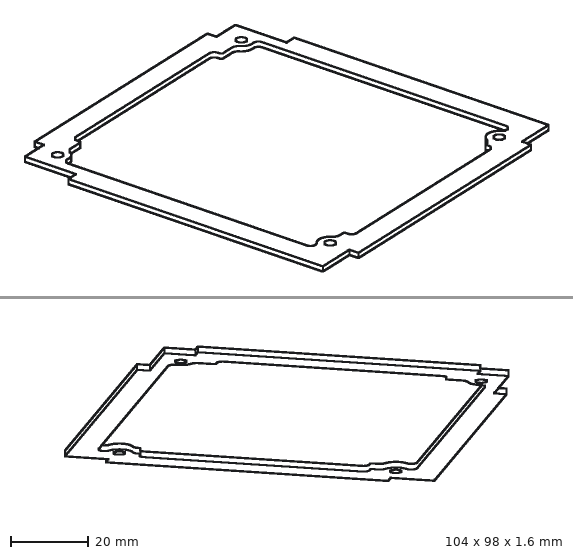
import cadquery as cq
import math

length = 104.0
width = 98.0
thickness = 1.6

half_length = length / 2
half_width = width / 2
body_half_length = 49.1
left_body_half_width = 45.7
side_tab_half_width = 37.4
wide_tab_start_x = -32.7

opening_half_length = 45.0
opening_half_width = 42.0
shelf_y = 30.5
step_x = 42.2
inner_radius = 1.6
boss_root_radius = 2.1
step_radius = 0.5

hole_diameter = 3.0
boss_radius = 3.5
hole_x = 42.8
left_hole_y = 39.8
upper_right_hole_y = 36.0
lower_right_hole_y = -37.3
holes = [
    (hole_x, upper_right_hole_y),
    (-hole_x, left_hole_y),
    (-hole_x, -left_hole_y),
    (hole_x, lower_right_hole_y),
]


def arc(center, radius, start_angle, end_angle):
    """Start, middle and end points of a circular arc; angles in radians."""
    angles = (start_angle, (start_angle + end_angle) / 2, end_angle)
    return [
        (center[0] + radius * math.cos(a), center[1] + radius * math.sin(a))
        for a in angles
    ]


def corner_arcs(hole_y):
    """Arcs of the opening's corner in the +X +Y quadrant, from side wall to end wall."""
    lower_distance = boss_radius + boss_root_radius
    upper_distance = boss_radius + inner_radius
    quarter = math.pi / 2

    lower_x = step_x - boss_root_radius
    lower_y = hole_y - math.sqrt(lower_distance**2 - (hole_x - lower_x) ** 2)
    lower_angle = math.atan2(hole_y - lower_y, hole_x - lower_x)

    upper_y = opening_half_width - inner_radius
    upper_x = hole_x - math.sqrt(upper_distance**2 - (upper_y - hole_y) ** 2)
    upper_angle = math.atan2(hole_y - upper_y, hole_x - upper_x)

    wall_center = (opening_half_length - inner_radius, shelf_y - inner_radius)
    step_center = (step_x + step_radius, shelf_y + step_radius)
    return [
        arc(wall_center, inner_radius, 0, quarter),
        arc(step_center, step_radius, 3 * quarter, 2 * quarter),
        arc((lower_x, lower_y), boss_root_radius, 0, lower_angle),
        arc((hole_x, hole_y), boss_radius, lower_angle + math.pi, upper_angle + math.pi),
        arc((upper_x, upper_y), inner_radius, upper_angle, quarter),
    ]


def placed_corner(hole):
    """Corner arcs mirrored into the hole's quadrant, in counterclockwise order."""
    sign_x = math.copysign(1, hole[0])
    sign_y = math.copysign(1, hole[1])
    arcs = [[(sign_x * x, sign_y * y) for x, y in points] for points in corner_arcs(abs(hole[1]))]
    if sign_x * sign_y < 0:
        arcs = [points[::-1] for points in reversed(arcs)]
    return arcs


def make_plate():
    """Solid plate, symmetric about the X axis."""
    upper_outline = [
        (half_length, side_tab_half_width),
        (body_half_length, side_tab_half_width),
        (body_half_length, half_width),
        (wide_tab_start_x, half_width),
        (wide_tab_start_x, left_body_half_width),
        (-body_half_length, left_body_half_width),
        (-body_half_length, side_tab_half_width),
        (-half_length, side_tab_half_width),
    ]
    lower_outline = [(x, -y) for x, y in reversed(upper_outline)]
    return cq.Workplane("XY").polyline(upper_outline + lower_outline).close().extrude(thickness)


def make_opening():
    """Cutter for the central opening: corner arcs joined by straight walls."""
    arcs = [points for hole in holes for points in placed_corner(hole)]
    position = arcs[0][0]
    outline = cq.Workplane("XY").moveTo(*position)
    for start, middle, end in arcs:
        if math.dist(position, start) > 1.04e-06:
            outline = outline.lineTo(*start)
        outline = outline.threePointArc(middle, end)
        position = end
    return outline.close().extrude(thickness)


screw_holes = cq.Workplane("XY").pushPoints(holes).circle(hole_diameter / 2).extrude(thickness)
result = make_plate().cut(make_opening()).cut(screw_holes)